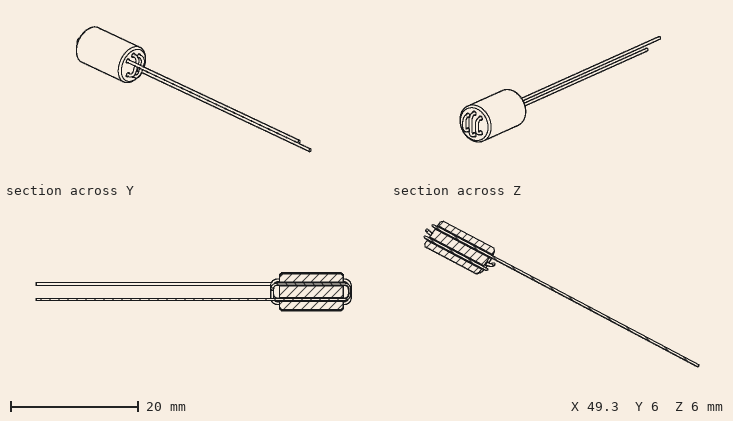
import cadquery as cq
import math

BEAD_DIAMETER = 6.0
BEAD_LENGTH = 10.0
EDGE_CHAMFER = 0.35

HOLE_DIAMETER = 0.7
ROW_SPACING = 2.4
SIDE_HOLE_OFFSET = ROW_SPACING / 2
MIDDLE_HOLE_OFFSET = 1.75

WIRE_DIAMETER = 0.48
BEND_RADIUS = 0.85
LOOP_OVERHANG = 1.25
LEAD_SIDE_OVERHANG = 1.4
OVERALL_LENGTH = 49.25

BEAD_END = BEAD_LENGTH / 2
LOOP_X = -(BEAD_END + LOOP_OVERHANG - WIRE_DIAMETER / 2)
LEAD_SIDE_LOOP_X = BEAD_END + LEAD_SIDE_OVERHANG - WIRE_DIAMETER / 2
LEAD_END = OVERALL_LENGTH - BEAD_END - LOOP_OVERHANG

HOLE_SEQUENCE = [
    (-SIDE_HOLE_OFFSET, SIDE_HOLE_OFFSET),
    (-SIDE_HOLE_OFFSET, -SIDE_HOLE_OFFSET),
    (0, MIDDLE_HOLE_OFFSET),
    (0, -MIDDLE_HOLE_OFFSET),
    (SIDE_HOLE_OFFSET, SIDE_HOLE_OFFSET),
    (SIDE_HOLE_OFFSET, -SIDE_HOLE_OFFSET),
]


def make_bead():
    """Round bead with chamfered rims and six through holes."""
    bead = (
        cq.Workplane("YZ", origin=(-BEAD_END, 0, 0))
        .circle(BEAD_DIAMETER / 2)
        .extrude(BEAD_LENGTH)
        .edges("%CIRCLE")
        .chamfer(EDGE_CHAMFER)
    )
    holes = (
        cq.Workplane("YZ")
        .pushPoints(HOLE_SEQUENCE)
        .circle(HOLE_DIAMETER / 2)
        .extrude(BEAD_LENGTH, both=True)
    )
    return bead.cut(holes)


def wire_corners():
    """Sharp corners of the centre line, from the tip of one lead to the tip of the other."""
    corners = [cq.Vector(LEAD_END, *HOLE_SEQUENCE[0])]
    turn_x, next_turn_x = LOOP_X, LEAD_SIDE_LOOP_X
    for start, end in zip(HOLE_SEQUENCE, HOLE_SEQUENCE[1:]):
        corners.append(cq.Vector(turn_x, *start))
        corners.append(cq.Vector(turn_x, *end))
        turn_x, next_turn_x = next_turn_x, turn_x
    corners.append(cq.Vector(LEAD_END, *HOLE_SEQUENCE[-1]))
    return corners


def wire_path(corners):
    """Centre line of straight runs with a quarter-circle bend at every right-angled corner."""
    edges = []
    run_start = corners[0]
    for before, corner, after in zip(corners, corners[1:], corners[2:]):
        to_before = (before - corner).normalized() * BEND_RADIUS
        to_after = (after - corner).normalized() * BEND_RADIUS
        bend_start = corner + to_before
        bend_end = corner + to_after
        bend_middle = corner + (to_before + to_after) * (1 - math.sqrt(0.5))
        edges.append(cq.Edge.makeLine(run_start, bend_start))
        edges.append(cq.Edge.makeThreePointArc(bend_start, bend_middle, bend_end))
        run_start = bend_end
    edges.append(cq.Edge.makeLine(run_start, corners[-1]))
    return cq.Wire.assembleEdges(edges)


def make_wire():
    """One round wire: three loops at the -X end, two slanted loops and two leads at the +X end."""
    path = wire_path(wire_corners())
    section = cq.Workplane("YZ", origin=path.startPoint().toTuple()).circle(WIRE_DIAMETER / 2)
    return section.sweep(cq.Workplane(path))


bead = make_bead()
wire = make_wire()

result = cq.Compound.makeCompound([bead.val(), wire.val()])